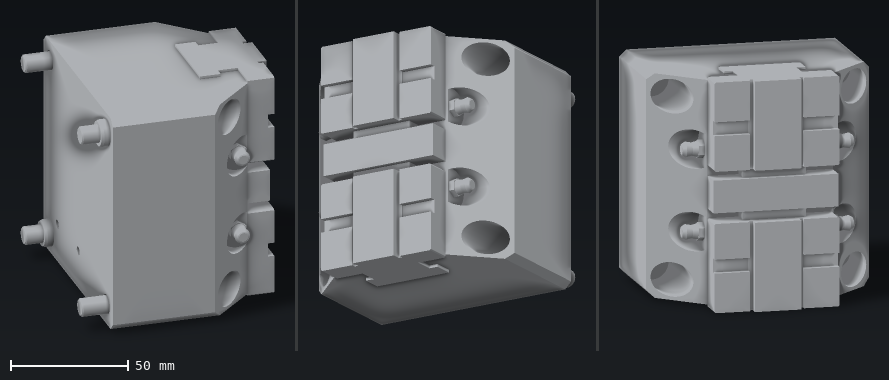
import cadquery as cq
import math


body_side = 98.0
body_depth = 67.0
shoulder_y = 45.8
corner_chamfer = 3.0
half_body = body_side / 2
half_top = half_body - (body_depth - shoulder_y)

jaw_end = 50.3
jaw_gap = 22.7
jaw_length = jaw_end - jaw_gap / 2
jaw_half_width = 27.5
jaw_edge_chamfer = 0.5
head_half_width = 17.9
neck_half_width = 14.0
head_bottom_y = 48.9
head_top_y = 58.0
ridge_half_width = 10.2
groove_width = 1.7
groove_bottom_y = 77.0
pad_y = 79.0
ridge_y = 81.0
cross_slot_width = 6.0
cross_slot_bottom_y = 76.2
cross_slot_z = 30.0

block_height = 14.3
block_y = 77.1
rail_y = 74.4

screw_pitch = 80.0
screw_diameter = 8.0
screw_reach = 12.0
screw_tip_chamfer = 0.6
clearance_diameter = 9.0
clearance_depth = 10.1
counterbore_diameter = 15.0
counterbore_floor_y = 20.1
sleeve_diameter = 12.0
sleeve_reach = 3.9
sleeve_lead_length = 1.2
sleeve_lead_height = 0.5
screw_offset = screw_pitch / 2

port_z = -31.9
pointed_port_x = -29.5
port_diameter = 4.1
plain_port_diameter = 4.0
port_depth = 10.1
drill_point_angle = 118

nipple_y = 62.0
nipple_z = 18.0
spotface_diameter = 17.0
spotface_x = 28.3
hex_across_flats = 7.0
hex_top_x = 30.9
neck_top_x = 33.4
head_widest_x = 36.0
nipple_rim_x = 37.6
nipple_tip_x = 37.8
nipple_base_diameter = 6.8
nipple_neck_diameter = 5.8
nipple_head_diameter = 6.8
nipple_rim_diameter = 4.9
nipple_tip_diameter = 4.0


def box(x_half, y_low, y_high, z_low, z_high):
    """Box centred on X = 0."""
    size = (2 * x_half, y_high - y_low, z_high - z_low)
    return cq.Workplane("XY").box(*size, centered=False).translate((-x_half, y_low, z_low))


def rod_y(x, z, diameter, y_low, y_high):
    """Cylinder along Y."""
    base = cq.Vector(x, y_low, z)
    return cq.Workplane(cq.Solid.makeCylinder(diameter / 2, y_high - y_low, base, cq.Vector(0, 1, 0)))


def make_body():
    outline = [
        (-half_body, 0),
        (half_body, 0),
        (half_body, shoulder_y),
        (half_top, body_depth),
        (-half_top, body_depth),
        (-half_body, shoulder_y),
    ]
    prism = cq.Workplane("XY").polyline(outline).close().extrude(half_body, both=True)
    square = box(half_body, 0, body_depth, -half_body, half_body).edges("|Y").chamfer(corner_chamfer)
    return prism.intersect(square)


def jaw_cut(side, inner, width, floor_y, z_start, length):
    """Cut from the ridge top down to floor_y, starting at |X| = inner on one side of the ridge."""
    centre_x = side * (inner + width / 2)
    return box(width / 2, floor_y, ridge_y, z_start, z_start + length).translate((centre_x, 0, 0))


def make_jaw():
    """Jaw on the +Z side, with its T-shaped tail sunk in the body."""
    z_low = jaw_end - jaw_length
    plate = box(jaw_half_width, body_depth, ridge_y, z_low, jaw_end).edges("|Y").chamfer(jaw_edge_chamfer)
    groove_half_width = ridge_half_width + groove_width
    side_width = jaw_half_width - groove_half_width
    slot_start = cross_slot_z - cross_slot_width / 2
    for side in (-1, 1):
        step = jaw_cut(side, groove_half_width, side_width, pad_y, z_low, jaw_length)
        groove = jaw_cut(side, ridge_half_width, groove_width, groove_bottom_y, z_low, jaw_length)
        slot = jaw_cut(side, groove_half_width, side_width, cross_slot_bottom_y, slot_start, cross_slot_width)
        plate = plate.cut(step).cut(groove).cut(slot)
    neck = box(neck_half_width, head_top_y, body_depth, z_low, jaw_end)
    head = box(head_half_width, head_bottom_y, head_top_y, z_low, jaw_end)
    return plate.union(neck).union(head)


def make_sleeve(x, z):
    lead_radius = sleeve_diameter / 2 - sleeve_lead_height
    profile = [
        (0, 0),
        (sleeve_diameter / 2, 0),
        (sleeve_diameter / 2, -(sleeve_reach - sleeve_lead_length)),
        (lead_radius, -sleeve_reach),
        (0, -sleeve_reach),
    ]
    sleeve = cq.Workplane("XY").polyline(profile).close().revolve(360, (0, 0), (0, 1))
    return sleeve.translate((x, 0, z))


def make_pointed_port():
    radius = port_diameter / 2
    point_length = radius / math.tan(math.radians(drill_point_angle / 2))
    profile = [(0, 0), (radius, 0), (radius, port_depth), (0, port_depth + point_length)]
    port = cq.Workplane("XY").polyline(profile).close().revolve(360, (0, 0), (0, 1))
    return port.translate((pointed_port_x, 0, port_z))


def make_nipple():
    """Grease nipple pointing along +X, its axis on the X axis."""
    profile = [
        (spotface_x, 0),
        (spotface_x, nipple_base_diameter / 2),
        (hex_top_x, nipple_base_diameter / 2),
        (neck_top_x, nipple_neck_diameter / 2),
        (head_widest_x, nipple_head_diameter / 2),
        (nipple_rim_x, nipple_rim_diameter / 2),
        (nipple_tip_x, nipple_tip_diameter / 2),
        (nipple_tip_x, 0),
    ]
    stem = cq.Workplane("XY").polyline(profile).close().revolve(360, (0, 0), (1, 0))
    across_corners = hex_across_flats / math.cos(math.radians(30))
    nut = (
        cq.Workplane("YZ", origin=(spotface_x, 0, 0))
        .transformed(rotate=(0, 0, 90))
        .polygon(6, across_corners)
        .extrude(hex_top_x - spotface_x)
    )
    return stem.union(nut)


result = make_body()
jaw = make_jaw()
result = result.union(jaw).union(jaw.mirror("XY"))
result = result.union(box(jaw_half_width, body_depth, block_y, -block_height / 2, block_height / 2))
result = result.union(box(neck_half_width, body_depth, rail_y, -jaw_gap / 2, jaw_gap / 2))

for x_side in (-1, 1):
    for z_side in (-1, 1):
        x = x_side * screw_offset
        z = z_side * screw_offset
        result = result.cut(rod_y(x, z, counterbore_diameter, counterbore_floor_y, body_depth))
        if x_side == z_side:
            result = result.union(make_sleeve(x, z))
        else:
            result = result.cut(rod_y(x, z, clearance_diameter, 0, clearance_depth))
        screw = rod_y(x, z, screw_diameter, -screw_reach, counterbore_floor_y)
        result = result.union(screw.faces("<Y").chamfer(screw_tip_chamfer))

result = result.cut(make_pointed_port())
result = result.cut(rod_y(0, port_z, plain_port_diameter, 0, port_depth))

spotface = cq.Workplane("YZ", origin=(spotface_x, 0, 0)).circle(spotface_diameter / 2).extrude(half_body)
nipple = make_nipple()
for z in (-nipple_z, nipple_z):
    pocket = spotface.translate((0, nipple_y, z))
    fitting = nipple.translate((0, nipple_y, z))
    result = result.cut(pocket).cut(pocket.mirror("YZ"))
    result = result.union(fitting).union(fitting.mirror("YZ"))